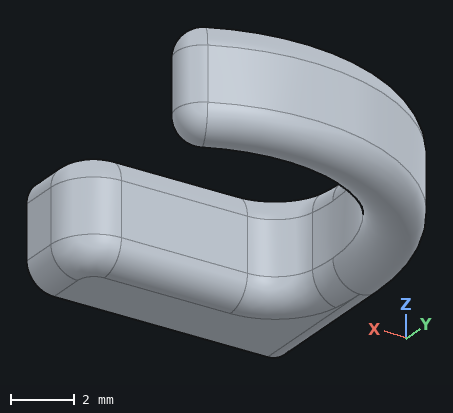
import cadquery as cq
import math

base_width = 10.0
base_thickness = 3.01
depth = 4.0
edge_round = depth / 4
corner_radius = 1.6
hook_radius = 8.0
hook_end_angle = 65.2
total_length = 13.38

inner_radius = hook_radius - 2 * edge_round
middle_radius = hook_radius - edge_round
hook_x = hook_radius
hook_y = total_length - hook_radius
straight_depth = depth - 2 * edge_round

bend_y = base_thickness + corner_radius
bend_distance = inner_radius - corner_radius
bend_angle = math.pi + math.asin((hook_y - bend_y) / bend_distance)
bend_x = hook_x + bend_distance * math.cos(bend_angle)


def arc_point(x, y, radius, angle):
    return (x + radius * math.cos(angle), y + radius * math.sin(angle))


def make_base():
    """Base and root of the hook: a round-edged plate trimmed to the inside outline."""
    plate = (
        cq.Workplane("XY")
        .box(base_width, hook_y, depth, centered=(False, False, True))
        .edges("|Y and <X")
        .fillet(edge_round)
    )
    corner_x = base_width - corner_radius
    corner_y = base_thickness - corner_radius
    overhang = edge_round
    trim = (
        cq.Workplane("XY")
        .workplane(offset=-depth / 2)
        .moveTo(-overhang, 0)
        .lineTo(base_width, 0)
        .lineTo(base_width, corner_y)
        .threePointArc(
            arc_point(corner_x, corner_y, corner_radius, math.pi / 4),
            (corner_x, base_thickness),
        )
        .lineTo(bend_x, base_thickness)
        .threePointArc(
            arc_point(bend_x, bend_y, corner_radius, (bend_angle + 1.5 * math.pi) / 2),
            arc_point(bend_x, bend_y, corner_radius, bend_angle),
        )
        .threePointArc(
            arc_point(hook_x, hook_y, inner_radius, (bend_angle + math.pi) / 2),
            (hook_x - inner_radius, hook_y),
        )
        .lineTo(-overhang, hook_y)
        .close()
        .extrude(depth)
    )
    trim = trim.edges(cq.selectors.BoxSelector(
        (base_width - edge_round, -edge_round, -depth),
        (base_width + edge_round, corner_y, depth),
    )).edges("|Y").fillet(edge_round)
    return plate.intersect(trim)


def make_band():
    """Hook band with a stadium section, turned about the hook centre."""
    band = (
        cq.Workplane("XZ", origin=(hook_x, hook_y, 0))
        .center(-middle_radius, 0)
        .slot2D(depth, 2 * edge_round, 90)
        .revolve(180 - hook_end_angle, (middle_radius, 0, 0), (middle_radius, -1, 0))
    )
    return band


def make_tip():
    """Rounded tip: a cylinder with a ball at each end."""
    tip_x, tip_y = arc_point(hook_x, hook_y, middle_radius, math.radians(hook_end_angle))
    tip = (
        cq.Workplane("XY", origin=(tip_x, tip_y, -straight_depth / 2))
        .circle(edge_round)
        .extrude(straight_depth)
    )
    for side in (-1, 1):
        ball = cq.Workplane("XY", origin=(tip_x, tip_y, side * straight_depth / 2)).sphere(edge_round)
        tip = tip.union(ball)
    return tip


result = make_base().union(make_band()).union(make_tip())